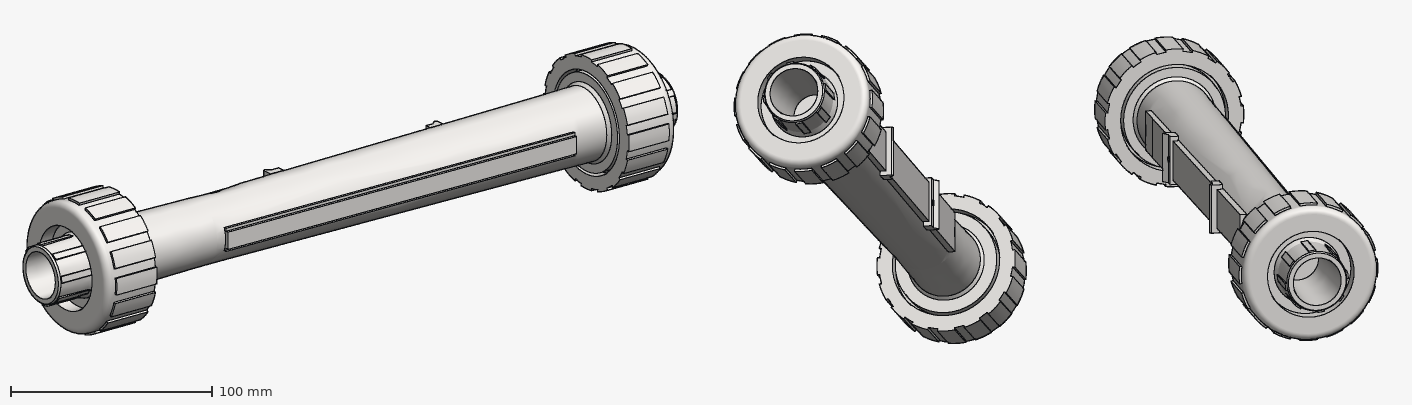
import cadquery as cq
import math

length = 386.0
tip = length / 2
spigot_reach = 15.5
nut_width = 30.5
nut_outer_face = tip - spigot_reach
nut_inner_face = nut_outer_face - nut_width

nut_diameter = 68.5
nut_rounding = 3.5
pad_diameter = 70.5
pad_count = 16
pad_angle = 14.5
pad_setback = 5.5
mouth_diameter = 44.0
mouth_depth = 7.7
gap_outer_diameter = 55.0
gap_inner_diameter = 51.7
gap_depth = 7.7

spigot_tip_diameter = 29.5
spigot_front_diameter = 30.5
spigot_root_diameter = 31.3
spigot_flare_diameter = 34.0
spigot_flare_length = 4.0
spigot_chamfer = 1.0
rib_diameter = 32.0
rib_count = 8
rib_width = 3.5
rib_offset_angle = 8.0
rib_setback = 1.0
bore_mouth_diameter = 24.5
bore_end_diameter = 21.0
bore_depth = spigot_reach + nut_width

tube_diameter_top = 39.0
tube_diameter_waist = 34.5
tube_diameter_bottom = 36.0
tube_radius_top = tube_diameter_top / 2
tube_radius_waist = tube_diameter_waist / 2
tube_radius_bottom = tube_diameter_bottom / 2
waist_y = -95.7
collar_step = 1.5
collar_length = 2.0

strip_top_y = 125.0
strip_bottom_y = -90.7
strip_split_y = 109.3
strip_depth = 7.7
scale_width = 20.0
scale_head_proud = 0.08
scale_proud = 0.2
rail_base_width = 12.5
rail_base_proud = 0.5
rail_cap_width = 9.3
rail_cap_proud = 2.0

clip_length = 8.0
clip_height = 24.7
clip_proud = 1.5
clip_depth = 2.7
ridge_start_proud = 3.0
ridge_peak_proud = 4.0
ridge_peak_inset = 1.0
ridge_width = 4.0
knob_diameter = 2.7
knob_height = 0.5
knob_inset = 2.7
upper_clip_end_y = 70.5
lower_clip_end_y = -38.2


def tube_radius(y):
    """Radius of the tapered tube between the +Y nut and the waist."""
    share = (y - waist_y) / (nut_inner_face - waist_y)
    return tube_radius_waist + share * (tube_radius_top - tube_radius_waist)


def revolve_about_y(points):
    """Solid of revolution from (radius, y) points."""
    return cq.Workplane("XY").polyline(points).close().revolve(360, (0, 0, 0), (0, 1, 0))


def cylinder(diameter, y_start, y_end):
    """Cylinder on the Y axis."""
    radius = diameter / 2
    return revolve_about_y([(0, y_start), (radius, y_start), (radius, y_end), (0, y_end)])


def make_tube():
    return revolve_about_y([
        (0, -nut_inner_face),
        (tube_radius_bottom + collar_step, -nut_inner_face),
        (tube_radius_bottom, -nut_inner_face + collar_length),
        (tube_radius_waist, waist_y),
        (tube_radius_top, nut_inner_face - collar_length),
        (tube_radius_top + collar_step, nut_inner_face),
        (0, nut_inner_face),
    ])


def make_grip_pads():
    """Ring of raised pads around the nut at the -Y end."""
    radius = pad_diameter / 2
    pad_length = nut_width - pad_setback
    half_angle = math.radians(pad_angle / 2)
    reach = 2 * radius
    wedge_x = reach * math.sin(half_angle)
    wedge_z = reach * math.cos(half_angle)
    wedge = (
        cq.Workplane("XZ", origin=(0, -nut_inner_face, 0))
        .polyline([(0, 0), (-wedge_x, wedge_z), (wedge_x, wedge_z)])
        .close()
        .extrude(pad_length)
    )
    start = -nut_inner_face - pad_length
    ring = cylinder(pad_diameter, start, -nut_inner_face)
    ring = ring.cut(cylinder(mouth_diameter, start, -nut_inner_face))
    pad = ring.intersect(wedge)
    pads = pad
    for index in range(1, pad_count):
        pads = pads.union(pad.rotate((0, 0, 0), (0, 1, 0), index * 360 / pad_count))
    return pads


def make_nut():
    """Union nut at the -Y end."""
    nut = cylinder(nut_diameter, -nut_outer_face, -nut_inner_face)
    nut = nut.faces("<Y").edges().fillet(nut_rounding)
    nut = nut.union(make_grip_pads())
    nut = nut.cut(cylinder(mouth_diameter, -nut_outer_face, -nut_outer_face + mouth_depth))
    gap_start = -nut_inner_face - gap_depth
    gap = cylinder(gap_outer_diameter, gap_start, -nut_inner_face)
    return nut.cut(gap.cut(cylinder(gap_inner_diameter, gap_start, -nut_inner_face)))


def make_spigot():
    """Drafted, ribbed spigot at the -Y end, flared where it meets the bottom of the nut mouth."""
    root_y = -nut_outer_face + mouth_depth
    spigot = revolve_about_y([
        (0, -tip),
        (spigot_tip_diameter / 2, -tip),
        (spigot_front_diameter / 2, -tip + spigot_chamfer),
        (spigot_root_diameter / 2, root_y - spigot_flare_length),
        (spigot_flare_diameter / 2, root_y),
        (0, root_y),
    ])
    rib_length = root_y + tip - rib_setback
    rib = cq.Workplane("XY").box(rib_diameter / 2, rib_length, rib_width, centered=(False, False, True))
    rib = rib.translate((0, -tip + rib_setback, 0))
    for index in range(rib_count):
        angle = rib_offset_angle + index * 360 / rib_count
        spigot = spigot.union(rib.rotate((0, 0, 0), (0, 1, 0), -angle))
    return spigot


def make_bore():
    """Tapered blind bore entering the -Y end."""
    return revolve_about_y([
        (0, -tip),
        (bore_mouth_diameter / 2, -tip),
        (bore_end_diameter / 2, -tip + bore_depth),
        (0, -tip + bore_depth),
    ])


def make_strip(y_start, y_end, width, proud):
    """Flat strip on the -X side whose outer face follows the taper of the tube."""
    outline = []
    for y in (y_start, y_end):
        outline.append((-tube_radius(y) - proud, y))
    for y in (y_end, y_start):
        outline.append((-tube_radius(y) + strip_depth, y))
    return cq.Workplane("XY").polyline(outline).close().extrude(width / 2, both=True)


def make_clip(ridge_end_y, inward):
    """Ridged clip across the scale; inward is the Y direction from its ridged end to its plain end."""
    surface_x = -tube_radius(ridge_end_y + inward * clip_length / 2)
    profile = [
        (-clip_depth, 0),
        (ridge_start_proud, 0),
        (ridge_peak_proud, ridge_peak_inset),
        (clip_proud, ridge_width),
        (clip_proud, clip_length),
        (-clip_depth, clip_length),
    ]
    outline = [(surface_x - height, ridge_end_y + inward * inset) for height, inset in profile]
    clip = cq.Workplane("XY").polyline(outline).close().extrude(clip_height / 2, both=True)
    knob_y = ridge_end_y + inward * (clip_length - knob_inset)
    knob = (
        cq.Workplane("YZ", origin=(surface_x, knob_y, 0))
        .circle(knob_diameter / 2)
        .extrude(-clip_proud - knob_height)
    )
    return clip.union(knob)


end_fitting = make_nut().union(make_spigot()).cut(make_bore())
other_end_fitting = end_fitting.rotate((0, 0, 0), (0, 0, 1), 180)

rail_base = make_strip(strip_bottom_y, strip_top_y, rail_base_width, rail_base_proud)
rail_cap = make_strip(strip_bottom_y, strip_top_y, rail_cap_width, rail_cap_proud)
rail = rail_base.union(rail_cap).mirror("YZ")

result = (
    make_tube()
    .union(end_fitting)
    .union(other_end_fitting)
    .union(make_strip(strip_bottom_y, strip_split_y, scale_width, scale_proud))
    .union(make_strip(strip_split_y, strip_top_y, scale_width, scale_head_proud))
    .union(rail)
    .union(make_clip(upper_clip_end_y, -1))
    .union(make_clip(lower_clip_end_y, 1))
)